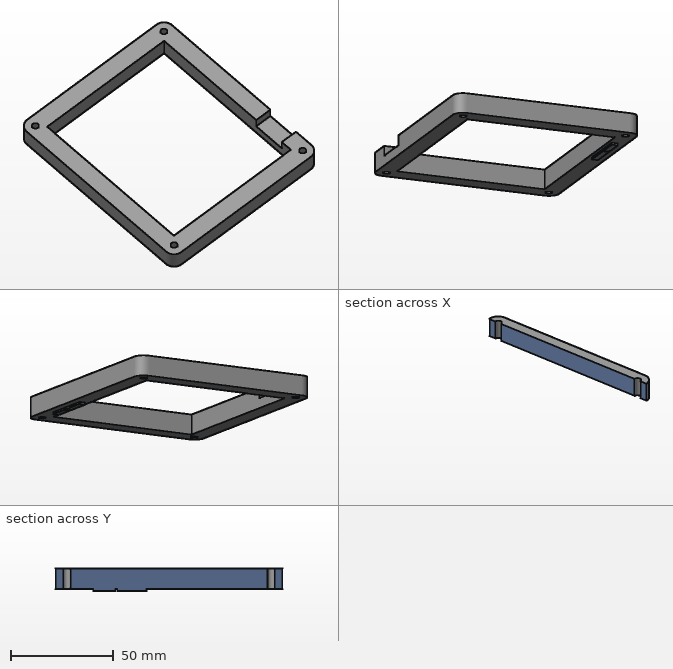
import cadquery as cq

length = 110.5
width = 96.2
total_height = 11.0

pad_height = 1.0
frame_height = total_height - pad_height
corner_radius = 5.2
side_wall = 9.8
end_wall = 9.4

hole_diameter = 3.4
hole_inset = 5.5

notch_width = 18.3
notch_end_gap = 16.2
notch_depth = frame_height / 2

pad_depth = 3.2
pad_front_gap = 4.3
first_pad_start = 18.3
first_pad_length = 10.8
pad_gap = 0.8
second_pad_start = first_pad_start + first_pad_length + pad_gap
second_pad_length = 14.4


def make_frame():
    """Rounded rectangular frame standing on Z = 0."""
    outer = (
        cq.Workplane("XY")
        .rect(length, width)
        .extrude(frame_height)
        .edges("|Z")
        .fillet(corner_radius)
    )
    opening = (
        cq.Workplane("XY")
        .rect(length - 2 * side_wall, width - 2 * end_wall)
        .extrude(frame_height)
    )
    return outer.cut(opening)


def make_corner_holes():
    """Four through holes, one in each corner."""
    return (
        cq.Workplane("XY")
        .rect(length - 2 * hole_inset, width - 2 * hole_inset, forConstruction=True)
        .vertices()
        .circle(hole_diameter / 2)
        .extrude(frame_height)
    )


def make_notch():
    """Block that opens the upper half of the +Y wall."""
    return cq.Workplane("XY").box(notch_width, end_wall, notch_depth, centered=False).translate(
        (
            length / 2 - notch_end_gap - notch_width,
            width / 2 - end_wall,
            frame_height - notch_depth,
        )
    )


def make_pad(start, pad_length):
    """Thin pad hanging below the frame; start is its distance from the -X side."""
    return cq.Workplane("XY").box(pad_length, pad_depth, pad_height, centered=False).translate(
        (start - length / 2, pad_front_gap - width / 2, -pad_height)
    )


result = (
    make_frame()
    .cut(make_corner_holes())
    .cut(make_notch())
    .union(make_pad(first_pad_start, first_pad_length))
    .union(make_pad(second_pad_start, second_pad_length))
)